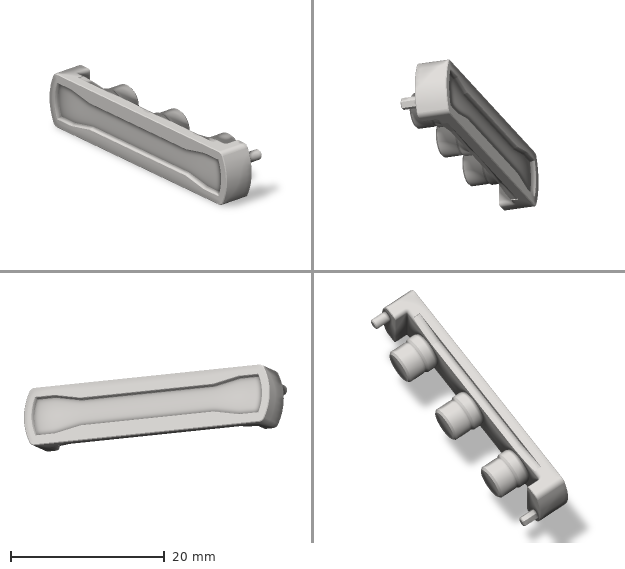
import cadquery as cq
import math

LENGTH = 35.52
HEIGHT = 7.65
FRONT_Y = -3.55
PLATE_BACK_Y = -1.03
BLOCK_BACK_Y = 0.85
END_RADIUS = 7.45
CORNER_RADIUS = 0.8
EDGE_CHAMFER = 0.1

BLOCK_INNER_X = 14.67
BLOCK_INNER_FILLET = 0.5
BLOCK_ROOT_FILLET = 0.18

RIM_WIDTH = 1.05
RECESS_HALF_HEIGHT = 2.6
WAIST_HALF_HEIGHT = 1.9
RECESS_KINK_X = 13.3
WAIST_KINK_X = 9.6
RECESS_DEPTH = 0.6
RECESS_INSET = 0.3
RECESS_BEVEL = 0.07
RECESS_TIP_X = LENGTH / 2 - RIM_WIDTH

NOTCH_FRONT_Y = -2.2
NOTCH_HALF_LENGTH = 13.5
NOTCH_FLAT_HALF_LENGTH = 9.13
NOTCH_END_DEPTH = 0.1
NOTCH_DEPTH = 0.7

PLUG_PITCH = 10.15
PLUG_TOP_Y = 3.55
CAP_RADIUS = 2.35
CAP_BOTTOM_Y = 1.17
CAP_CHAMFER = 0.3
NECK_RADIUS = 2.27
NECK_Y = 0.85
COLLAR_RADIUS = 2.52
COLLAR_TOP_Y = 0.5
COLLAR_BOTTOM_Y = -0.57
COLLAR_FOOT_RADIUS = 2.35

PIN_X = 16.48
PIN_Z = 1.6
PIN_TOP_Y = 3.05
PIN_RADIUS = 0.7
PIN_FLAT_HALF_WIDTH = 0.32
PIN_CHAMFER = 0.15


def front_plane(y):
    """Sketch plane facing +Y with local (x, y) equal to (-X, Z)."""
    return cq.Workplane("XZ", origin=(0, y, 0)).transformed(rotate=(0, 180, 0))


def arc_end_x(z):
    """X of the rounded end of the bar at height z."""
    return LENGTH / 2 - END_RADIUS + math.sqrt(END_RADIUS**2 - z**2)


def make_bar():
    half = HEIGHT / 2
    corner_x = arc_end_x(half)
    bar = (
        front_plane(FRONT_Y)
        .moveTo(-corner_x, half)
        .lineTo(corner_x, half)
        .threePointArc((LENGTH / 2, 0), (corner_x, -half))
        .lineTo(-corner_x, -half)
        .threePointArc((-LENGTH / 2, 0), (-corner_x, half))
        .close()
        .extrude(BLOCK_BACK_Y - FRONT_Y)
        .edges("|Y")
        .fillet(CORNER_RADIUS)
        .faces("<Y or >Y")
        .chamfer(EDGE_CHAMFER)
    )
    gap = (
        front_plane(PLATE_BACK_Y)
        .rect(2 * BLOCK_INNER_X, 2 * HEIGHT)
        .extrude(BLOCK_BACK_Y - PLATE_BACK_Y)
        .edges("<Y and |Z")
        .fillet(BLOCK_ROOT_FILLET)
    )
    return round_block_corners(bar.cut(gap))


def round_block_corners(bar):
    """Round the inner corners of both end blocks that run along Y."""
    edges = bar.edges(
        cq.selectors.BoxSelector(
            (-BLOCK_INNER_X - 0.05, PLATE_BACK_Y, -HEIGHT),
            (BLOCK_INNER_X + 0.05, BLOCK_BACK_Y - EDGE_CHAMFER, HEIGHT),
        )
    ).edges("|Y")
    return edges.fillet(BLOCK_INNER_FILLET)


def recess_outline(y, inset):
    """Waisted outline with ends concentric to the bar ends, shrunk by inset."""
    radius = END_RADIUS - RIM_WIDTH - inset
    centre_x = LENGTH / 2 - END_RADIUS
    high = RECESS_HALF_HEIGHT - inset
    low = WAIST_HALF_HEIGHT - inset
    corner_x = centre_x + math.sqrt(radius**2 - high**2)
    tip_x = RECESS_TIP_X - inset
    turn = math.atan2(RECESS_HALF_HEIGHT - WAIST_HALF_HEIGHT, RECESS_KINK_X - WAIST_KINK_X)
    shift = inset * math.tan(turn / 2)
    outer_x = RECESS_KINK_X + shift
    waist_x = WAIST_KINK_X + shift
    return (
        front_plane(y)
        .moveTo(-corner_x, high)
        .lineTo(-outer_x, high)
        .lineTo(-waist_x, low)
        .lineTo(waist_x, low)
        .lineTo(outer_x, high)
        .lineTo(corner_x, high)
        .threePointArc((tip_x, 0), (corner_x, -high))
        .lineTo(outer_x, -high)
        .lineTo(waist_x, -low)
        .lineTo(-waist_x, -low)
        .lineTo(-outer_x, -high)
        .lineTo(-corner_x, -high)
        .threePointArc((-tip_x, 0), (-corner_x, high))
        .close()
    )


def make_recess():
    """Drafted recess with a small bevel at its mouth and around its floor."""
    sections = [
        (0, 0),
        (RECESS_BEVEL, RECESS_BEVEL),
        (RECESS_DEPTH - RECESS_BEVEL, RECESS_INSET - RECESS_BEVEL),
        (RECESS_DEPTH, RECESS_INSET),
    ]
    wires = [recess_outline(FRONT_Y + depth, inset).wires().val() for depth, inset in sections]
    return cq.Workplane(cq.Solid.makeLoft(wires, True))


def make_notch():
    top = HEIGHT / 2
    return (
        front_plane(NOTCH_FRONT_Y)
        .moveTo(-NOTCH_HALF_LENGTH, top)
        .lineTo(-NOTCH_HALF_LENGTH, top - NOTCH_END_DEPTH)
        .lineTo(-NOTCH_FLAT_HALF_LENGTH, top - NOTCH_DEPTH)
        .lineTo(NOTCH_FLAT_HALF_LENGTH, top - NOTCH_DEPTH)
        .lineTo(NOTCH_HALF_LENGTH, top - NOTCH_END_DEPTH)
        .lineTo(NOTCH_HALF_LENGTH, top)
        .close()
        .extrude(PLATE_BACK_Y - NOTCH_FRONT_Y)
    )


def cut_notches(bar):
    notch = make_notch()
    return bar.cut(notch).cut(notch.mirror("XY"))


def make_plug(x):
    """Chamfered cap on a flared collar, turned about an axis along Y."""
    profile = [
        (0, PLATE_BACK_Y),
        (COLLAR_FOOT_RADIUS, PLATE_BACK_Y),
        (COLLAR_RADIUS, COLLAR_BOTTOM_Y),
        (COLLAR_RADIUS, COLLAR_TOP_Y),
        (NECK_RADIUS, NECK_Y),
        (CAP_RADIUS, CAP_BOTTOM_Y),
        (CAP_RADIUS, PLUG_TOP_Y - CAP_CHAMFER),
        (CAP_RADIUS - CAP_CHAMFER, PLUG_TOP_Y),
        (0, PLUG_TOP_Y),
    ]
    plug = cq.Workplane("XY").polyline(profile).close().revolve(360, (0, 0), (0, 1))
    return plug.translate((x, 0, 0))


def make_round_pin():
    return (
        front_plane(BLOCK_BACK_Y)
        .circle(PIN_RADIUS)
        .extrude(PIN_TOP_Y - BLOCK_BACK_Y)
        .faces(">Y")
        .chamfer(PIN_CHAMFER)
        .translate((PIN_X, 0, PIN_Z))
    )


def make_diamond_pin():
    """Six-sided pin with sharp corners pointing along X."""
    corners = [
        (-PIN_RADIUS, 0),
        (-PIN_FLAT_HALF_WIDTH, PIN_RADIUS),
        (PIN_FLAT_HALF_WIDTH, PIN_RADIUS),
        (PIN_RADIUS, 0),
        (PIN_FLAT_HALF_WIDTH, -PIN_RADIUS),
        (-PIN_FLAT_HALF_WIDTH, -PIN_RADIUS),
    ]
    return (
        front_plane(BLOCK_BACK_Y)
        .polyline(corners)
        .close()
        .extrude(PIN_TOP_Y - BLOCK_BACK_Y)
        .faces(">Y")
        .chamfer(PIN_CHAMFER)
        .translate((-PIN_X, 0, -PIN_Z))
    )


result = cut_notches(make_bar().cut(make_recess()))
for plug_x in (-PLUG_PITCH, 0, PLUG_PITCH):
    result = result.union(make_plug(plug_x))
result = result.union(make_round_pin()).union(make_diamond_pin())